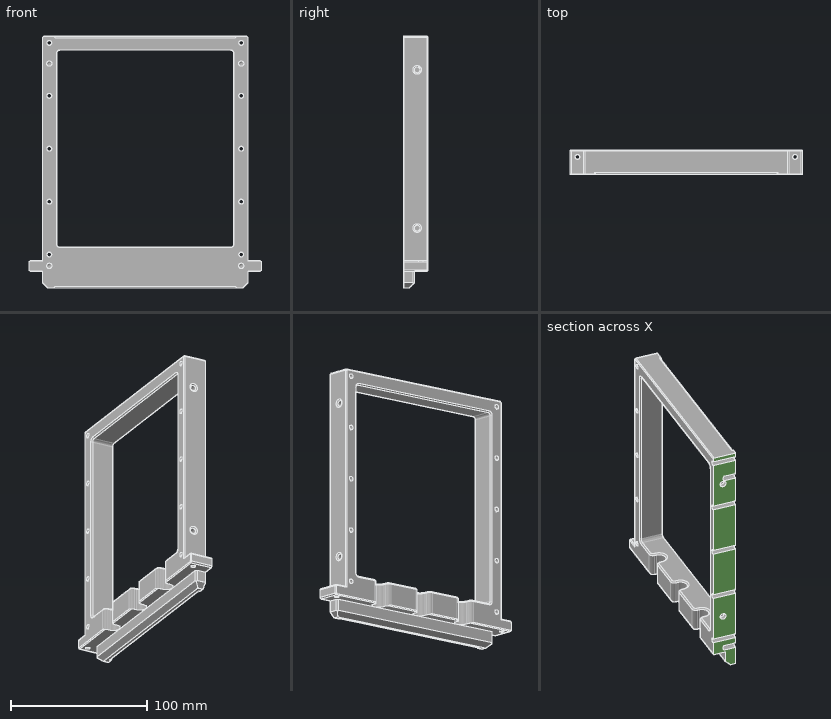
import cadquery as cq
import math

height = 185.0
depth = 18.0
frame_width = 151.1
overall_width = 171.0
corner_chamfer = 1.1
back_chamfer = 0.7

window_width = 129.9
window_bottom = 30.0
window_top = 174.6
window_fillet = 2.0
window_rim_chamfer = 1.1
selection_margin = 0.2

lug_bottom = 12.2
lug_top = 20.2
lug_hole_diameter = 3.3
lug_hole_x = 80.0
lug_hole_y = 12.8

flange_thickness = 8.1
flange_corner_chamfer = 3.9
flange_side_chamfer = 1.3

bevel_size = 1.3
bevel_half_length = 67.3

post_hole_x = 70.5
through_hole_diameter = 3.3
through_hole_bottom = 24.6
through_hole_pitch = 38.8
through_hole_count = 5
blind_hole_diameter = 3.9
blind_hole_depth = 9.2
blind_hole_heights = (16.3, 164.8)

side_hole_diameter = 4.3
side_hole_depth = 7.4
countersink_diameter = 6.3
side_hole_y = 10.0
side_hole_heights = (44.0, 160.2)
drill_point_ratio = 0.3

notch_radius = 5.0
notch_floor_y = 8.3
notch_pitch = 40.0
notch_lip_radius = 3.0

half_frame = frame_width / 2
half_overall = overall_width / 2
half_window = window_width / 2


def box(x_min, x_max, y_min, y_max, z_min, z_max):
    """Axis-aligned box between the given limits."""
    size = (x_max - x_min, y_max - y_min, z_max - z_min)
    return cq.Workplane("XY").box(*size, centered=False).translate((x_min, y_min, z_min))


def drill(start, direction, diameter, length):
    """Blind drill with a conical point beyond its straight length."""
    radius = diameter / 2
    point_height = drill_point_ratio * diameter
    axis = cq.Vector(*direction)
    tip_start = cq.Vector(*start) + axis * length
    shank = cq.Solid.makeCylinder(radius, length, cq.Vector(*start), axis)
    point = cq.Solid.makeCone(radius, 0, point_height, tip_start, axis)
    return cq.Workplane(shank).union(cq.Workplane(point))


def make_body():
    """Full-depth frame with its lugs, chamfered around the back."""
    posts = box(-half_frame, half_frame, 0, depth, lug_bottom, height)
    posts = posts.edges("|Y and >Z").chamfer(corner_chamfer)
    lugs = box(-half_overall, half_overall, 0, depth, lug_bottom, lug_top)
    lugs = lugs.edges("|Y").chamfer(corner_chamfer)
    return posts.union(lugs).clean().faces(">Y").chamfer(back_chamfer)


def make_flange():
    """Thin strip along the bottom, with cut corners and a bevelled back edge."""
    flange = box(-half_frame, half_frame, 0, flange_thickness, 0, lug_bottom)
    flange = flange.edges("|Y and <Z").chamfer(flange_corner_chamfer)
    flange = flange.edges("|Z and >Y").chamfer(flange_side_chamfer)
    return flange.edges(">Y and <Z").chamfer(flange_corner_chamfer)


def make_window():
    """Cutter for the rounded rectangular opening."""
    window = box(-half_window, half_window, 0, depth, window_bottom, window_top)
    return window.edges("|Y").fillet(window_fillet)


def make_bevel(edge_z, inward):
    """Triangular cutter with tapered ends; inward is the Z direction into the frame."""
    inner_z = edge_z + inward * bevel_size
    inner_half_length = bevel_half_length - bevel_size
    prism = (
        cq.Workplane("YZ")
        .polyline([(0, edge_z), (bevel_size, edge_z), (0, inner_z)])
        .close()
        .extrude(bevel_half_length, both=True)
    )
    taper = (
        cq.Workplane("XZ")
        .polyline([
            (-bevel_half_length, edge_z),
            (bevel_half_length, edge_z),
            (inner_half_length, inner_z),
            (-inner_half_length, inner_z),
        ])
        .close()
        .extrude(-bevel_size)
    )
    return prism.intersect(taper)


def make_notch(center_x):
    """Round-bottomed notch, open to the back, with its lips rounded over."""
    center_y = notch_floor_y + notch_radius
    lip_y = depth - notch_lip_radius
    lip_x = notch_radius + notch_lip_radius
    lip_diagonal = notch_lip_radius / math.sqrt(2)
    lip_middle_x = lip_x - lip_diagonal
    lip_middle_y = lip_y + lip_diagonal
    return (
        cq.Workplane("XY")
        .moveTo(-lip_x, depth)
        .threePointArc((-lip_middle_x, lip_middle_y), (-notch_radius, lip_y))
        .lineTo(-notch_radius, center_y)
        .threePointArc((0, notch_floor_y), (notch_radius, center_y))
        .lineTo(notch_radius, lip_y)
        .threePointArc((lip_middle_x, lip_middle_y), (lip_x, depth))
        .close()
        .extrude(window_bottom - lug_bottom)
        .translate((center_x, 0, lug_bottom))
    )


def chamfer_window_back(frame):
    """Chamfer the rear rim of the window, following the notches along the bar."""
    rim_zone = cq.selectors.BoxSelector(
        (-half_window - selection_margin, selection_margin, window_bottom - selection_margin),
        (half_window + selection_margin, depth + selection_margin, window_top + selection_margin),
    )
    return frame.edges(rim_zone).edges("not |Y").chamfer(window_rim_chamfer)


def make_side_hole(side, z):
    """Countersunk blind hole entering a side face; side is -1 or 1."""
    start = (side * half_frame, side_hole_y, z)
    inward = (-side, 0, 0)
    countersink_depth = (countersink_diameter - side_hole_diameter) / 2
    countersink = cq.Solid.makeCone(
        countersink_diameter / 2,
        side_hole_diameter / 2,
        countersink_depth,
        cq.Vector(*start),
        cq.Vector(*inward),
    )
    bore = cq.Solid.makeCylinder(
        side_hole_diameter / 2, side_hole_depth, cq.Vector(*start), cq.Vector(*inward)
    )
    return cq.Workplane(bore).union(cq.Workplane(countersink))


result = make_body().union(make_flange()).cut(make_window())
for position in (-1, 0, 1):
    result = result.cut(make_notch(position * notch_pitch))
result = chamfer_window_back(result)
result = result.cut(make_bevel(height, -1)).cut(make_bevel(0, 1))

for side in (-1, 1):
    for index in range(through_hole_count):
        hole_z = through_hole_bottom + index * through_hole_pitch
        through_hole = cq.Solid.makeCylinder(
            through_hole_diameter / 2,
            depth,
            cq.Vector(side * post_hole_x, 0, hole_z),
            cq.Vector(0, 1, 0),
        )
        result = result.cut(cq.Workplane(through_hole))

    for hole_z in blind_hole_heights:
        start = (side * post_hole_x, 0, hole_z)
        result = result.cut(drill(start, (0, 1, 0), blind_hole_diameter, blind_hole_depth))

    for hole_z in side_hole_heights:
        result = result.cut(make_side_hole(side, hole_z))

    lug_hole = cq.Solid.makeCylinder(
        lug_hole_diameter / 2,
        lug_top - lug_bottom,
        cq.Vector(side * lug_hole_x, lug_hole_y, lug_bottom),
    )
    result = result.cut(cq.Workplane(lug_hole))